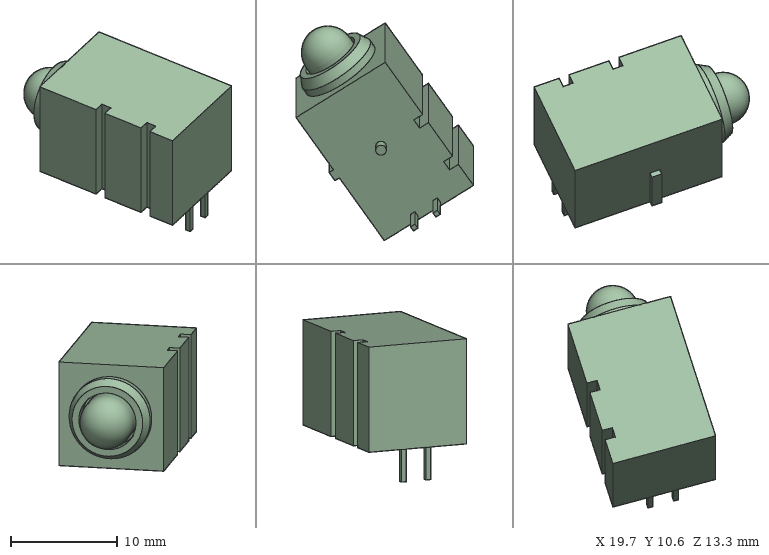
import cadquery as cq
import math


block_length = 15.0
block_side = 10.1
optical_axis_z = block_side / 2

collar_length = 1.76
collar_radius = 3.9
collar_taper_length = 1.0
collar_taper_radial = 0.5
recess_radius = 2.75

lens_radius = 2.5
lens_protrusion = 2.9
lens_length = collar_length + lens_protrusion

slot_pitch = 5.08
slot_width = 1.0
slot_depth = 1.0
peg_x = 6.86
slot_stations = [peg_x, peg_x + slot_pitch]
rib_width = slot_width
rib_thickness = 0.5
rib_height = block_side / 2
peg_diameter = 1.0
peg_length = 1.0

lead_side = 0.5
lead_length = 3.2
lead_pitch = 2.54
lead_x = 14.4


def make_block():
    return cq.Workplane("XY").box(block_length, block_side, block_side, centered=(False, True, False))


def make_collar():
    """Ring ahead of the block, tapered at its outer front edge."""
    front_x = -collar_length
    profile = (
        cq.Workplane("XY")
        .moveTo(0, recess_radius)
        .lineTo(front_x, recess_radius)
        .lineTo(front_x, collar_radius - collar_taper_radial)
        .lineTo(front_x + collar_taper_length, collar_radius)
        .lineTo(0, collar_radius)
        .close()
    )
    ring = profile.revolve(360, (0, 0, 0), (1, 0, 0))
    return ring.translate((0, 0, optical_axis_z))


def make_slot_cutter(station_x):
    """Full-height slot in the -Y side of the block."""
    return (
        cq.Workplane("XY")
        .box(slot_width, slot_depth, block_side, centered=(True, False, False))
        .translate((station_x, -block_side / 2, 0))
    )


def make_rib():
    """Half-height rib on the +Y side of the block."""
    return (
        cq.Workplane("XY")
        .box(rib_width, rib_thickness, rib_height, centered=(True, False, False))
        .translate((peg_x, block_side / 2, 0))
    )


def make_peg():
    return cq.Workplane("XY").center(peg_x, 0).circle(peg_diameter / 2).extrude(-peg_length)


def make_housing():
    housing = make_block().union(make_collar()).union(make_rib()).union(make_peg())
    for station_x in slot_stations:
        housing = housing.cut(make_slot_cutter(station_x))
    return housing


def make_lens():
    """Round rod with a hemispherical tip, seated on the block face inside the collar."""
    tip_x = -lens_length
    dome_base_x = tip_x + lens_radius
    dome_mid_offset = lens_radius * math.sqrt(0.5)
    profile = (
        cq.Workplane("XY")
        .moveTo(0, 0)
        .lineTo(0, lens_radius)
        .lineTo(dome_base_x, lens_radius)
        .threePointArc((dome_base_x - dome_mid_offset, dome_mid_offset), (tip_x, 0))
        .close()
    )
    lens = profile.revolve(360, (0, 0, 0), (1, 0, 0))
    return lens.translate((0, 0, optical_axis_z))


def make_lead(lead_y):
    """Square lead hanging from the underside of the block."""
    return cq.Workplane("XY").center(lead_x, lead_y).rect(lead_side, lead_side).extrude(-lead_length)


housing = make_housing()
lens = make_lens()
leads = [make_lead(side * lead_pitch / 2) for side in (-1, 1)]

result = cq.Compound.makeCompound([housing.val(), lens.val(), *[lead.val() for lead in leads]])